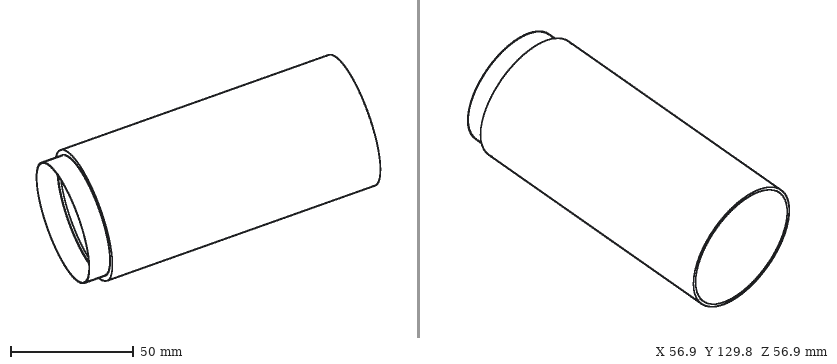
import cadquery as cq

total_length = 129.8
body_diameter = 56.9
bore_diameter = 54.3

neck_length = 9.3
neck_diameter = 52.5
neck_bore_diameter = 51.8

lip_diameter = 50.8
lip_thickness = 1.0


def cylinder_along_y(diameter, start_y, end_y):
    """Solid cylinder on the Y axis, from start_y to the larger end_y."""
    return cq.Workplane("XZ", origin=(0, start_y, 0)).circle(diameter / 2).extrude(start_y - end_y)


neck_end_y = -total_length / 2
shoulder_y = neck_end_y + neck_length
lip_back_y = shoulder_y + lip_thickness
body_end_y = total_length / 2

body = cylinder_along_y(body_diameter, shoulder_y, body_end_y)
neck = cylinder_along_y(neck_diameter, neck_end_y, shoulder_y)

neck_bore = cylinder_along_y(neck_bore_diameter, neck_end_y, shoulder_y)
lip_opening = cylinder_along_y(lip_diameter, neck_end_y, body_end_y)
body_bore = cylinder_along_y(bore_diameter, lip_back_y, body_end_y)

result = body.union(neck).cut(neck_bore).cut(lip_opening).cut(body_bore)